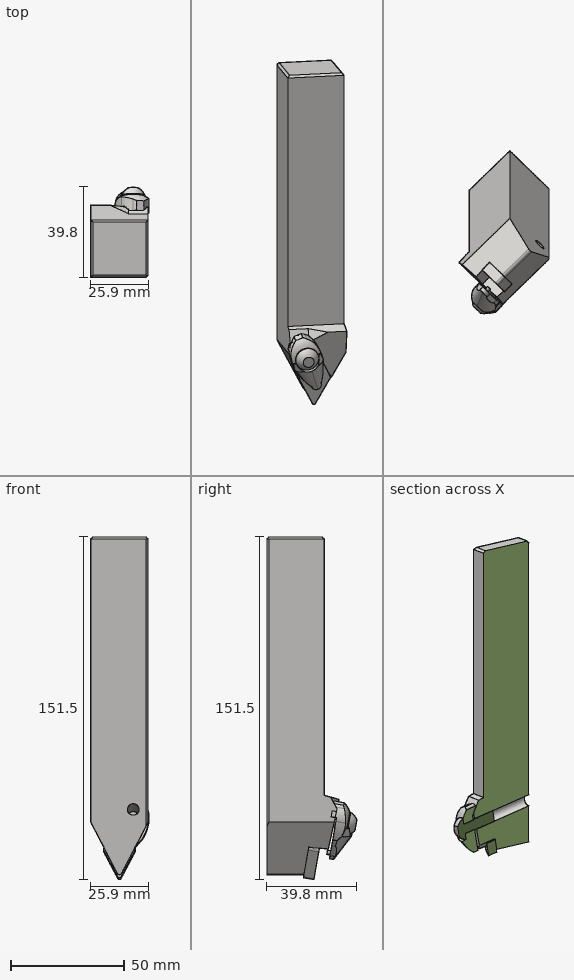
import cadquery as cq
import math

SHANK = 25.4
TOTAL_HEIGHT = 151.49
TOP_CHAMFER = 1.0
EDGE_CHAMFER = 0.9
MID_X = SHANK / 2

POINT_HALF_ANGLE = 27.5
POINT_TAN = math.tan(math.radians(POINT_HALF_ANGLE))
POINT_SIN = math.sin(math.radians(POINT_HALF_ANGLE))
SHOULDER_Z = 25.4
TIP_RADIUS = 1.0
SHARP_TIP_Z = SHOULDER_Z - MID_X / POINT_TAN

STEP_ROOT_Z = 37.3
STEP_EDGE_Y = 31.9
STEP_EDGE_Z = 35.5
STEP_SLOPE = (STEP_ROOT_Z - STEP_EDGE_Z) / (STEP_EDGE_Y - SHANK)
FACE_ANGLE = 12.0
MARGIN = 20.0

TILT = 10.0
TILT_SIN = math.sin(math.radians(TILT))
TILT_COS = math.cos(math.radians(TILT))
SEAT_NORMAL = (0, TILT_COS, -TILT_SIN)

INSCRIBED = 12.7
SHIM_THICKNESS = 4.76
SHIM_CORNER = 0.8
SEAT_CENTRE_Y = 18.35
HALF_LENGTH = INSCRIBED / 2 / POINT_SIN
HALF_WIDTH = HALF_LENGTH * POINT_TAN
NOSE_REACH = HALF_LENGTH - SHIM_CORNER * (1 / POINT_SIN - 1)
SEAT_CENTRE_Z = NOSE_REACH * TILT_COS + SHIM_THICKNESS * TILT_SIN
POCKET_CLEARANCE = 0.15

RECESS_Y = 28.1
RECESS_Z = STEP_ROOT_Z - (RECESS_Y - SHANK) * STEP_SLOPE
RECESS_FLAT_X = 16.8
RECESS_RIM_X = 8.0
RECESS_WALL_RISE = 3.0
RAMP_ANGLE = 29.0
RAMP_LENGTH = 12.0

SCREW_X = 18.8
HOLE_FRONT_Z = 31.05
HOLE_DIAMETER = 5.0
SCREW_END_Y = 19.5
CLAMP_BASE_Y = 30.5
CLAMP_BASE_Z = HOLE_FRONT_Z - CLAMP_BASE_Y * TILT_SIN / TILT_COS
SCREW_DEPTH = (CLAMP_BASE_Y - SCREW_END_Y) / TILT_COS
HEAD_RADIUS = 5.2
HEAD_SEAT = 5.3
HEAD_RIM = 5.8
HEAD_MIDDLE = (4.15, 7.6)
HEAD_TOP_RADIUS = 2.45
HEAD_TOP = 9.05

CLAMP_TURN = 20.5
HEEL = 8.85
HEEL_HALF_WIDTH = 1.7
HEEL_FACET_END = (7.9, 3.1)
HEEL_ROUND = (5.6, 5.25)
CLAMP_SIDE = (2.5, 6.44)
CLAMP_WAIST = (-3.0, 6.8)
CLAMP_NECK = (-8.0, 6.0)
NOSE = -17.7
NOSE_RADIUS = 2.2
LEG_START = 4.0
LEG_DEPTH = 2.4
CLAW_POSITION = -15.0
CLAW_RADIUS = 1.0
CLAW_DEPTH = 1.5
BACK_START = -4.0
BACK_ARCH = (7.0, 2.4, 8.5)
NOSE_ARCH = (2.6, 0.5, 1.8)
CROWN_RIM = (9.0, 1.9)
CROWN_MIDDLE = (7.5, 3.8)
CROWN_TOP = (4.6, 5.6)


def seat_plane():
    """Plane on the shim seat: x is X, y points up the seat, normal leaves the head."""
    centre = (MID_X, SEAT_CENTRE_Y, SEAT_CENTRE_Z)
    return cq.Plane(origin=centre, xDir=(-1, 0, 0), normal=SEAT_NORMAL)


def clamp_plane():
    """Plane on the clamp's underside: x points at the heel, normal along the screw."""
    turn = math.radians(CLAMP_TURN)
    heel_direction = (math.sin(turn), math.cos(turn) * TILT_SIN, math.cos(turn) * TILT_COS)
    return cq.Plane(origin=(SCREW_X, CLAMP_BASE_Y, CLAMP_BASE_Z), xDir=heel_direction, normal=SEAT_NORMAL)


def clamp_section_plane():
    """Plane through the screw axis along the clamp: x points at the heel, y along the screw."""
    plane = clamp_plane()
    return cq.Plane(origin=plane.origin, xDir=plane.xDir, normal=plane.yDir * -1)


def clamp_cross_plane(length):
    """Plane across the clamp at the given length: x across, y along the screw."""
    plane = clamp_plane()
    return cq.Plane(origin=plane.toWorldCoords((length, 0, 0)), xDir=plane.yDir, normal=plane.xDir)


def make_body_blank():
    """Shank with its stepped head, pointed at the bottom."""
    face_foot_y = STEP_EDGE_Y - STEP_EDGE_Z * math.tan(math.radians(FACE_ANGLE))
    side = (
        cq.Workplane("YZ")
        .polyline([
            (0, 0),
            (face_foot_y, 0),
            (STEP_EDGE_Y, STEP_EDGE_Z),
            (SHANK, STEP_ROOT_Z),
            (SHANK, TOTAL_HEIGHT),
            (0, TOTAL_HEIGHT),
        ])
        .close()
        .extrude(SHANK)
        .faces(">Z")
        .edges()
        .chamfer(TOP_CHAMFER)
    )
    outline = (
        cq.Workplane("XZ")
        .polyline([
            (0, TOTAL_HEIGHT),
            (0, SHOULDER_Z),
            (MID_X, SHARP_TIP_Z),
            (SHANK, SHOULDER_Z),
            (SHANK, TOTAL_HEIGHT),
        ])
        .close()
        .extrude(-STEP_EDGE_Y)
        .edges("|Y and <Z")
        .fillet(TIP_RADIUS)
    )
    edge = (
        cq.Workplane("XY")
        .polyline([(SHANK - EDGE_CHAMFER, 0), (SHANK, 0), (SHANK, EDGE_CHAMFER)])
        .close()
        .extrude(TOTAL_HEIGHT)
    )
    return side.intersect(outline).cut(edge)


def make_pocket():
    """Space over the shim seat, closed at the top by the two walls of a V."""
    reach = HALF_LENGTH + POCKET_CLEARANCE / POINT_SIN
    width = reach * POINT_TAN
    return (
        cq.Workplane(seat_plane())
        .polyline([(0, reach), (width, 0), (width, -MARGIN), (-width, -MARGIN), (-width, 0)])
        .close()
        .extrude(MARGIN)
    )


def make_recess():
    """Ramp for the clamp's heel, with a sloping wall on the -X side."""
    ramp = math.radians(RAMP_ANGLE)
    plane = cq.Plane(
        origin=(0, RECESS_Y, RECESS_Z), xDir=(-1, 0, 0), normal=(0, math.sin(ramp), -math.cos(ramp))
    )
    slope = RECESS_WALL_RISE / (RECESS_FLAT_X - RECESS_RIM_X)
    wall_x = RECESS_FLAT_X - MARGIN / slope
    return (
        cq.Workplane(plane)
        .polyline([
            (-RECESS_FLAT_X, 0),
            (-SHANK - MARGIN, 0),
            (-SHANK - MARGIN, MARGIN),
            (-wall_x, MARGIN),
        ])
        .close()
        .extrude(RAMP_LENGTH)
    )


def make_holder():
    """Body with the shim pocket, the heel recess and the tilted screw hole."""
    hole = (
        cq.Workplane(clamp_plane())
        .workplane(offset=-CLAMP_BASE_Y - MARGIN)
        .circle(HOLE_DIAMETER / 2)
        .extrude(CLAMP_BASE_Y + 2 * MARGIN)
    )
    return make_body_blank().cut(make_pocket()).cut(make_recess()).cut(hole)


def make_shim():
    """Rhombic plate lying on the tilted seat."""
    return (
        cq.Workplane(seat_plane())
        .polyline([(0, HALF_LENGTH), (HALF_WIDTH, 0), (0, -HALF_LENGTH), (-HALF_WIDTH, 0)])
        .close()
        .extrude(SHIM_THICKNESS)
        .edges(cq.selectors.ParallelDirSelector(cq.Vector(SEAT_NORMAL)))
        .fillet(SHIM_CORNER)
    )


def make_screw():
    """Plain round shank with a domed, flat-topped head, turned about the screw axis."""
    return (
        cq.Workplane(clamp_section_plane())
        .moveTo(0, -SCREW_DEPTH)
        .lineTo(HOLE_DIAMETER / 2, -SCREW_DEPTH)
        .lineTo(HOLE_DIAMETER / 2, HEAD_SEAT)
        .lineTo(HEAD_RADIUS, HEAD_SEAT)
        .lineTo(HEAD_RADIUS, HEAD_RIM)
        .threePointArc(HEAD_MIDDLE, (HEAD_TOP_RADIUS, HEAD_TOP))
        .lineTo(0, HEAD_TOP)
        .close()
        .revolve(360, (0, 0), (0, 1))
    )


def arch_wire(length, arch):
    """Outline of the clamp's arched cross-section."""
    half_width, side, ridge = arch
    diagonal = math.sin(math.radians(45))
    shoulder_x = half_width * diagonal
    shoulder_y = side + (ridge - side) * diagonal
    return (
        cq.Workplane(clamp_cross_plane(length))
        .moveTo(-half_width, 0)
        .lineTo(half_width, 0)
        .lineTo(half_width, side)
        .threePointArc((shoulder_x, shoulder_y), (0, ridge))
        .threePointArc((-shoulder_x, shoulder_y), (-half_width, side))
        .close()
    )


def make_clamp_plan():
    """Outline of the clamp seen along the screw, as a prism."""
    half = (
        cq.Workplane(clamp_plane())
        .moveTo(HEEL, 0)
        .lineTo(HEEL, HEEL_HALF_WIDTH)
        .lineTo(*HEEL_FACET_END)
        .threePointArc(HEEL_ROUND, CLAMP_SIDE)
        .threePointArc(CLAMP_WAIST, CLAMP_NECK)
        .lineTo(NOSE + NOSE_RADIUS, NOSE_RADIUS)
        .radiusArc((NOSE, 0), -NOSE_RADIUS)
        .close()
        .extrude(HEAD_TOP, both=True)
    )
    section = clamp_section_plane()
    return half.union(half.mirror(section.zDir, section.origin))


def make_crown():
    """Domed top of the heel, turned about the screw axis."""
    return (
        cq.Workplane(clamp_section_plane())
        .lineTo(CROWN_RIM[0], 0)
        .lineTo(*CROWN_RIM)
        .threePointArc(CROWN_MIDDLE, CROWN_TOP)
        .lineTo(0, CROWN_TOP[1])
        .close()
        .revolve(360, (0, 0), (0, 1))
    )


def make_nose():
    """Ridge that falls and narrows from the back of the clamp to its nose."""
    back = arch_wire(BACK_START, BACK_ARCH).wires().val()
    front = arch_wire(NOSE, NOSE_ARCH).wires().val()
    taper = cq.Workplane(cq.Solid.makeLoft([back, front], True))
    middle = arch_wire(BACK_START, BACK_ARCH).extrude(-BACK_START)
    return taper.union(middle)


def make_clamp(holder):
    """Arched clamp with a faceted heel leg that rests in the holder's recess."""
    leg = (
        cq.Workplane(clamp_section_plane())
        .moveTo(LEG_START, 0)
        .lineTo(LEG_START, -LEG_DEPTH)
        .lineTo(HEEL, -LEG_DEPTH)
        .lineTo(HEEL, 0)
        .close()
        .extrude(MARGIN, both=True)
    )
    claw = (
        cq.Workplane(clamp_plane())
        .center(CLAW_POSITION, 0)
        .circle(CLAW_RADIUS)
        .extrude(-CLAW_DEPTH)
    )
    shank_hole = cq.Workplane(clamp_plane()).circle(HOLE_DIAMETER / 2).extrude(MARGIN, both=True)
    head_seat = (
        cq.Workplane(clamp_plane())
        .workplane(offset=HEAD_SEAT)
        .circle(HEAD_RADIUS)
        .extrude(MARGIN)
    )
    form = make_crown().union(make_nose()).union(leg)
    clamp = form.intersect(make_clamp_plan()).union(claw)
    return clamp.cut(shank_hole).cut(head_seat).cut(holder)


holder = make_holder()
shim = make_shim()
screw = make_screw()
clamp = make_clamp(holder)

result = cq.Compound.makeCompound([
    *holder.solids().vals(),
    *shim.solids().vals(),
    *screw.solids().vals(),
    *clamp.solids().vals(),
])